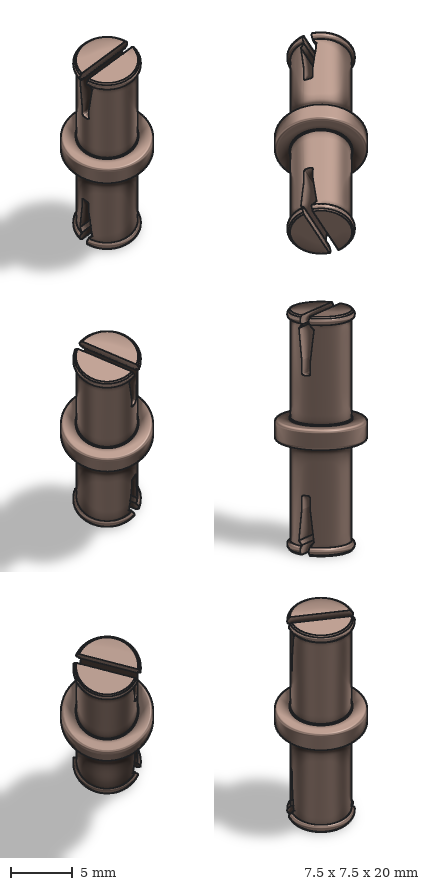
import cadquery as cq

length = 19.98
shaft_diameter = 4.95

flange_diameter = 7.5
flange_thickness = 1.74
flange_round = 0.28
step_diameter = 5.11
step_height = 0.12

lip_diameter = 5.5
lip_height = 0.72
lip_face_diameter = 5.0
lip_crest_depth = 0.4
lip_shoulder_diameter = 5.23
lip_shoulder_depth = 0.14
lip_rim_mid_diameter = 5.13
lip_rim_mid_depth = 0.04

slot_width = 0.8
pocket_width = 1.4
mouth_depth = 0.8
pocket_top_depth = 1.14
pocket_bottom_depth = 3.75
slot_depth = 5.0
slot_corner_round = 0.24

half_length = length / 2


def disc(diameter, bottom, height):
    """A solid cylinder on the pin axis."""
    return cq.Workplane("XY").workplane(offset=bottom).circle(diameter / 2).extrude(height)


def upper_lip():
    """The upper snap lip: a bulging side that rolls over a small rim round into the end face."""
    return (
        cq.Workplane("XZ")
        .moveTo(0, half_length)
        .lineTo(0, half_length - lip_height)
        .lineTo(lip_face_diameter / 2, half_length - lip_height)
        .threePointArc(
            (lip_diameter / 2, half_length - lip_crest_depth),
            (lip_shoulder_diameter / 2, half_length - lip_shoulder_depth),
        )
        .threePointArc(
            (lip_rim_mid_diameter / 2, half_length - lip_rim_mid_depth),
            (lip_face_diameter / 2, half_length),
        )
        .close()
        .revolve(360, (0, 0), (0, 1))
    )


def upper_slot():
    """The cutter for the slot through the upper end, running along Y."""
    half_slot = slot_width / 2
    half_pocket = pocket_width / 2
    mouth_z = half_length - mouth_depth
    pocket_top_z = half_length - pocket_top_depth
    pocket_bottom_z = half_length - pocket_bottom_depth
    tail_bottom_z = half_length - slot_depth
    cutter = (
        cq.Workplane("XZ")
        .moveTo(-half_slot, half_length)
        .lineTo(-half_slot, mouth_z)
        .lineTo(-half_pocket, pocket_top_z)
        .lineTo(-half_slot, pocket_bottom_z)
        .lineTo(-half_slot, tail_bottom_z)
        .lineTo(half_slot, tail_bottom_z)
        .lineTo(half_slot, pocket_bottom_z)
        .lineTo(half_pocket, pocket_top_z)
        .lineTo(half_slot, mouth_z)
        .lineTo(half_slot, half_length)
        .close()
        .extrude(flange_diameter / 2, both=True)
    )
    return cutter.faces("<Z").edges("|Y").fillet(slot_corner_round)


shaft = disc(shaft_diameter, -half_length, length)
flange = disc(flange_diameter, -flange_thickness / 2, flange_thickness).edges().fillet(flange_round)
step_span = flange_thickness + 2 * step_height
step = disc(step_diameter, -step_span / 2, step_span)

end_lip = upper_lip()
body = shaft.union(flange).union(step).union(end_lip).union(end_lip.mirror("XY"))
slot = upper_slot()
result = body.cut(slot).cut(slot.mirror("XY"))